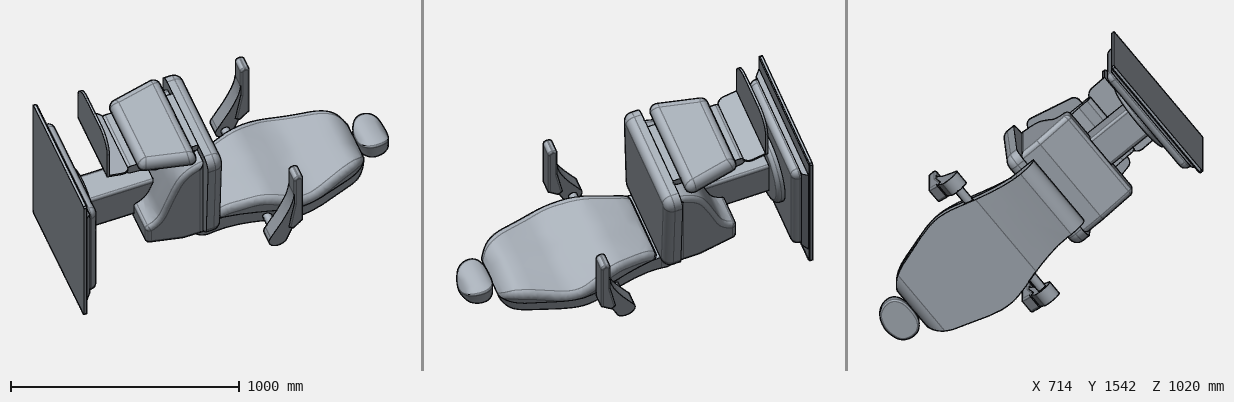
import cadquery as cq


PLATE_WIDTH = 611.0
PLATE_HEIGHT = 782.0
PLATE_THICK = 17.0
PLATE_CORNER_CHAMFER = 8.0
PLATE_EDGE_CHAMFER = 5.0
BASE_Z = PLATE_HEIGHT / 2
SLAB_WIDTH = 546.0
SLAB_HEIGHT = 570
SLAB_FRONT_Y = 79.0
SLAB_FILLET = 31
SLAB_CORNER_RADIUS = 34.0
SKIRT_TOP_Y = 40.0
SKIRT_WIDTH_FLARE = 25.0
SKIRT_HEIGHT_FLARE = 12.0
HUB_RADIUS = 175.0
HUB_FRONT_Y = 114.0
HUB_FILLET = 19.0
COLUMN_WIDTH = 148.0
COLUMN_HEIGHT = 200
COLUMN_END_Y = 432
COLUMN_FILLET = 12.0

SEAM_Z = 213.0
SEAT_TOP_WIDTH = 546.0
SEAT_BOTTOM_WIDTH = 494
SEAT_TOP_Z = 759.0
SEAT_FRONT_Y = 597.0
SEAT_BACK_Y = 672.0
SEAT_CORNER_RADIUS = 51.0
SEAT_FILLET = 40.0
SHROUD_WIDTH = 455.0
SHROUD_FILLET = 22.0
SHROUD_NOSE_FILLET = 19.0
SHROUD_NOSE_Y = 325.0
SHROUD_NOSE_BOTTOM_Z = 262
SHROUD_NOSE_TOP_Z = 365.0
SHROUD_FLAT_END_Y = 498.0
SHROUD_TOP_Z = 710

LEG_FRAME_WIDTH = 302.0
FOOT_WIDTH = 350.0
FOOT_THICK = 11.0
FOOT_LINK_HEIGHT = 10.0
FOOT_OUTER_Y = 160.0
FOOT_TOP_Z = 1020.0
FOOT_BEND_Z = 768.0
FOOT_TOP_RADIUS = 93
FOOT_LINK_RADIUS = 40.0
LEG_TIP_Y = 260.0
LEG_TIP_Z = 743.0
FOOT_LINK_OVERLAP = 11.0
LEG_CUSHION_FOOT_Y = 308
LEG_CUSHION_SEAT_Y = 561.0
LEG_CUSHION_FOOT_WIDTH = 383.0
LEG_CUSHION_SEAT_WIDTH = 497.0
LEG_CUSHION_THICK = 46
LEG_CUSHION_CORNER_RADIUS = 31
LEG_CUSHION_FILLET = 39.0

CUT_SPAN = 617
BACK_TOP_Y = 1396.0
BACK_TOP_HALF = 102.0
BACK_FOOT_HALF = 175.0
BACK_STRAIGHT_Y = 659.0
CUSHION_FOOT_Y = 674.0
SHELL_FOOT_Y = 565.0
CUSHION_FILLET = 31
HEAD_TOP_Y = 1542
HEAD_OVERSHOOT = 5.0
HEAD_FILLET = 8.0

ARM_CENTER_X = 320.0
ARM_WIDTH = 65.0
PAD_WIDTH = 74.0
PAD_FRONT_Y = 969.0
PAD_BACK_Y = 1010.0
PAD_TOP_Z = 583.0
ARM_TOP_Z = 463
PAD_FILLET = 10.0
PAD_TOP_RADIUS = 19.0
PIVOT_Y = 896.0
PIVOT_Z = 179.0
ROD_RADIUS = 20.0
ROD_END_X = 185


def side_extrusion(profile, width):
    """Extrude a closed (Y, Z) profile symmetrically about X = 0."""
    return profile.extrude(width).translate((-width / 2, 0, 0))


def box_along_y(width, height, center_z, y_start, y_end):
    """Rectangular block centred on X = 0 between two Y planes."""
    depth = y_end - y_start
    return cq.Workplane("XY").box(width, depth, height).translate((0, (y_start + y_end) / 2, center_z))


def make_column():
    """Column of the pedestal; its far end sits in a matching pocket in the shroud."""
    column = box_along_y(COLUMN_WIDTH, COLUMN_HEIGHT, BASE_Z, SLAB_FRONT_Y, COLUMN_END_Y)
    return column.edges("|Y").fillet(COLUMN_FILLET)


def make_pedestal(column):
    plate = box_along_y(PLATE_WIDTH, PLATE_HEIGHT, BASE_Z, 0, PLATE_THICK)
    plate = plate.edges("|Y").chamfer(PLATE_CORNER_CHAMFER).faces(">Y").edges().chamfer(PLATE_EDGE_CHAMFER)
    slab = box_along_y(SLAB_WIDTH, SLAB_HEIGHT, BASE_Z, PLATE_THICK, SLAB_FRONT_Y)
    slab = slab.edges("|Y").fillet(SLAB_CORNER_RADIUS).faces(">Y").edges().fillet(SLAB_FILLET)
    skirt = (
        cq.Workplane("XZ", origin=(0, PLATE_THICK, BASE_Z))
        .rect(SLAB_WIDTH + 2 * SKIRT_WIDTH_FLARE, SLAB_HEIGHT + 2 * SKIRT_HEIGHT_FLARE)
        .workplane(offset=PLATE_THICK - SKIRT_TOP_Y)
        .rect(SLAB_WIDTH, SLAB_HEIGHT)
        .loft(ruled=True)
    )
    hub = (
        cq.Workplane("XZ", origin=(0, SLAB_FRONT_Y, BASE_Z))
        .circle(HUB_RADIUS)
        .extrude(SLAB_FRONT_Y - HUB_FRONT_Y)
    )
    hub = hub.faces(">Y").edges().fillet(HUB_FILLET)
    return plate.union(skirt).union(slab).union(hub).union(column)


def make_shroud(column):
    profile = (
        cq.Workplane("YZ")
        .moveTo(SEAT_FRONT_Y, SEAM_Z)
        .lineTo(SHROUD_FLAT_END_Y, SEAM_Z)
        .lineTo(SHROUD_NOSE_Y, SHROUD_NOSE_BOTTOM_Z)
        .lineTo(SHROUD_NOSE_Y, SHROUD_NOSE_TOP_Z)
        .spline([(381.0, 403.0), (415.0, 480.0), (450.0, 574.0), (483.0, 639.0), (529.0, 683.0),
                 (SEAT_FRONT_Y, SHROUD_TOP_Z)], includeCurrent=True)
        .close()
    )
    shroud = side_extrusion(profile, SHROUD_WIDTH)
    shroud = shroud.faces("<Y").edges("|X").fillet(SHROUD_NOSE_FILLET)
    shroud = shroud.edges("not(|X)").fillet(SHROUD_FILLET)
    return shroud.cut(column)


def make_seat():
    seat = (
        cq.Workplane("XZ", origin=(0, SEAT_FRONT_Y, 0))
        .polyline([
            (-SEAT_BOTTOM_WIDTH / 2, SEAM_Z),
            (SEAT_BOTTOM_WIDTH / 2, SEAM_Z),
            (SEAT_TOP_WIDTH / 2, SEAT_TOP_Z),
            (-SEAT_TOP_WIDTH / 2, SEAT_TOP_Z),
        ])
        .close()
        .extrude(SEAT_FRONT_Y - SEAT_BACK_Y)
    )
    return seat.edges("|Y").fillet(SEAT_CORNER_RADIUS).faces(">Y").edges().fillet(SEAT_FILLET)


def make_leg_frame():
    profile = (
        cq.Workplane("YZ")
        .moveTo(SEAT_FRONT_Y, SEAT_TOP_Z)
        .lineTo(279.0, SEAT_TOP_Z)
        .threePointArc((265.0, 753.0), (LEG_TIP_Y, LEG_TIP_Z))
        .threePointArc((264.0, 722.0), (279.0, 711.0))
        .lineTo(325.0, 706.0)
        .lineTo(396.0, 675.0)
        .threePointArc((404.0, 674.0), (412.0, 677.0))
        .spline([(455.0, 703.0), (510.0, 715.0), (581.0, 720.0)], includeCurrent=True)
        .lineTo(SEAT_FRONT_Y, 733.0)
        .close()
    )
    frame = side_extrusion(profile, LEG_FRAME_WIDTH)

    link_profile = (
        cq.Workplane("YZ")
        .moveTo(LEG_TIP_Y + FOOT_LINK_OVERLAP, LEG_TIP_Z)
        .lineTo(FOOT_OUTER_Y, FOOT_BEND_Z)
        .lineTo(FOOT_OUTER_Y, FOOT_BEND_Z + FOOT_LINK_HEIGHT)
        .lineTo(LEG_TIP_Y + FOOT_LINK_OVERLAP, LEG_TIP_Z + FOOT_LINK_HEIGHT)
        .close()
    )
    link = side_extrusion(link_profile, FOOT_WIDTH)
    link = link.faces(">Y").edges("|Z").fillet(FOOT_LINK_RADIUS)
    blade_height = FOOT_TOP_Z - FOOT_BEND_Z
    blade = box_along_y(FOOT_WIDTH, blade_height, FOOT_TOP_Z - blade_height / 2,
                        FOOT_OUTER_Y, FOOT_OUTER_Y + FOOT_THICK)
    blade = blade.faces(">Z").edges("|Y").fillet(FOOT_TOP_RADIUS)
    return frame.union(link).union(blade)


def make_leg_cushion():
    cushion = (
        cq.Workplane("XY", origin=(0, 0, SEAT_TOP_Z))
        .polyline([
            (-LEG_CUSHION_FOOT_WIDTH / 2, LEG_CUSHION_FOOT_Y),
            (LEG_CUSHION_FOOT_WIDTH / 2, LEG_CUSHION_FOOT_Y),
            (LEG_CUSHION_SEAT_WIDTH / 2, LEG_CUSHION_SEAT_Y),
            (-LEG_CUSHION_SEAT_WIDTH / 2, LEG_CUSHION_SEAT_Y),
        ])
        .close()
        .extrude(LEG_CUSHION_THICK)
    )
    cushion = cushion.edges("|Z").fillet(LEG_CUSHION_CORNER_RADIUS)
    return cushion.faces(">Z").edges().fillet(LEG_CUSHION_FILLET)


def back_plan():
    """Waisted back outline, extruded from Z = 0; shared by the shell and its cushion."""
    side = [(153.0, 1354.0), (205.0, 1230.0), (239.0, 1118.0), (248.0, 1044.0), (219.0, 904.0), (190.0, 787),
            (BACK_FOOT_HALF, BACK_STRAIGHT_Y)]
    mirrored = [(-x, y) for x, y in reversed(side)]
    return (
        cq.Workplane("XY")
        .moveTo(-BACK_TOP_HALF, BACK_TOP_Y)
        .lineTo(BACK_TOP_HALF, BACK_TOP_Y)
        .spline(side, includeCurrent=True)
        .lineTo(BACK_FOOT_HALF, SHELL_FOOT_Y)
        .lineTo(-BACK_FOOT_HALF, SHELL_FOOT_Y)
        .lineTo(-BACK_FOOT_HALF, BACK_STRAIGHT_Y)
        .spline(mirrored[1:] + [(-BACK_TOP_HALF, BACK_TOP_Y)], includeCurrent=True)
        .close()
        .extrude(CUT_SPAN)
    )


def make_back_shell(rods):
    profile = (
        cq.Workplane("YZ")
        .moveTo(BACK_TOP_Y, SEAM_Z)
        .threePointArc((1382.0, 182.0), (1342, 160.0))
        .lineTo(864, 145.0)
        .spline([(734.0, 135.0), (637.0, 120.0)], includeCurrent=True)
        .threePointArc((586, 142.0), (SHELL_FOOT_Y, 193.0))
        .lineTo(SHELL_FOOT_Y, SEAM_Z)
        .close()
    )
    shell = side_extrusion(profile, CUT_SPAN).intersect(back_plan())
    return shell.cut(rods)


def make_back_cushion():
    profile = (
        cq.Workplane("YZ")
        .moveTo(BACK_TOP_Y, SEAM_Z)
        .spline([(1376.0, 240.0), (1342, 267.0), (1305.0, 275.0), (1198.0, 259.0), (1087.0, 245.0), (1013.0, 262.0),
                 (938.0, 287.0), (892.0, 293.0), (845.0, 288.0), (780.0, 271.0), (702.0, 247.0),
                 (682.0, 231)], includeCurrent=True)
        .lineTo(CUSHION_FOOT_Y, SEAM_Z)
        .close()
    )
    cushion = side_extrusion(profile, CUT_SPAN).intersect(back_plan())
    return cushion.faces("not(<Z)").edges("not(<Z)").edges("not(|X)").fillet(CUSHION_FILLET)


def make_headrest():
    profile = (
        cq.Workplane("YZ")
        .moveTo(HEAD_TOP_Y + HEAD_OVERSHOOT, 185)
        .lineTo(HEAD_TOP_Y + HEAD_OVERSHOOT, 197.0)
        .spline([(1538.0, 215.0), (1524.0, 238.0), (1500.0, 255.0), (1459.0, 262.0), (1428.0, 258.0),
                 (1407.0, 244.0), (BACK_TOP_Y - HEAD_OVERSHOOT, 216)], includeCurrent=True)
        .lineTo(BACK_TOP_Y - HEAD_OVERSHOOT, 179.0)
        .close()
    )
    side = [(43.0, 1535.0), (74.0, 1518.0), (95.0, 1465), (90.0, 1435), (60.0, 1407.0)]
    mirrored = [(-x, y) for x, y in reversed(side)]
    plan = (
        cq.Workplane("XY")
        .spline([(0, HEAD_TOP_Y), *side, (0, BACK_TOP_Y), *mirrored], periodic=True)
        .close()
        .extrude(CUT_SPAN)
    )
    headrest = side_extrusion(profile, CUT_SPAN).intersect(plan)
    headrest = headrest.faces(">Z").edges("not(|X)").fillet(HEAD_FILLET)
    return headrest.faces("<Z").edges("not(|X)").fillet(HEAD_FILLET)


def make_rod(side):
    """Pivot rod from the armrest centre to its blind socket in the back shell; side is -1 or 1."""
    length = ARM_CENTER_X - ROD_END_X
    return (
        cq.Workplane("YZ", origin=(side * ROD_END_X, PIVOT_Y, PIVOT_Z))
        .circle(ROD_RADIUS)
        .extrude(side * length)
    )


def make_armrest(side):
    arm_profile = (
        cq.Workplane("YZ")
        .moveTo(PAD_FRONT_Y, ARM_TOP_Z)
        .spline([(956.0, 398.0), (933.0, 340.0), (896.0, 267.0), (859.0, 204.0)], includeCurrent=True)
        .threePointArc((870.0, 142.0), (933.0, 156.0))
        .lineTo(960.0, 225.0)
        .lineTo(981.0, ARM_TOP_Z)
        .close()
    )
    arm = side_extrusion(arm_profile, ARM_WIDTH)
    pad_profile = (
        cq.Workplane("YZ")
        .polyline([
            (PAD_BACK_Y, PAD_TOP_Z),
            (PAD_FRONT_Y, PAD_TOP_Z),
            (PAD_FRONT_Y, 398.0),
            (942.0, 240.0),
            (964.0, 222.0),
            (PAD_BACK_Y, 267.0),
        ])
        .close()
    )
    pad = side_extrusion(pad_profile, PAD_WIDTH)
    pad = pad.faces(">Z").edges("|X").fillet(PAD_TOP_RADIUS)
    pad = pad.faces("<X or >X").edges().fillet(PAD_FILLET)
    return pad.union(arm).translate((side * ARM_CENTER_X, 0, 0)).union(make_rod(side))


column = make_column()
rods = make_rod(-1).union(make_rod(1))

pedestal = make_pedestal(column)
shroud = make_shroud(column)
seat = make_seat()
leg_frame = make_leg_frame()
leg_cushion = make_leg_cushion()
back_shell = make_back_shell(rods)
back_cushion = make_back_cushion()
headrest = make_headrest()
armrests = [make_armrest(side) for side in (-1, 1)]

result = cq.Compound.makeCompound([
    pedestal.val(),
    shroud.val(),
    seat.val(),
    leg_frame.val(),
    leg_cushion.val(),
    back_shell.val(),
    back_cushion.val(),
    headrest.val(),
    *[armrest.val() for armrest in armrests],
])